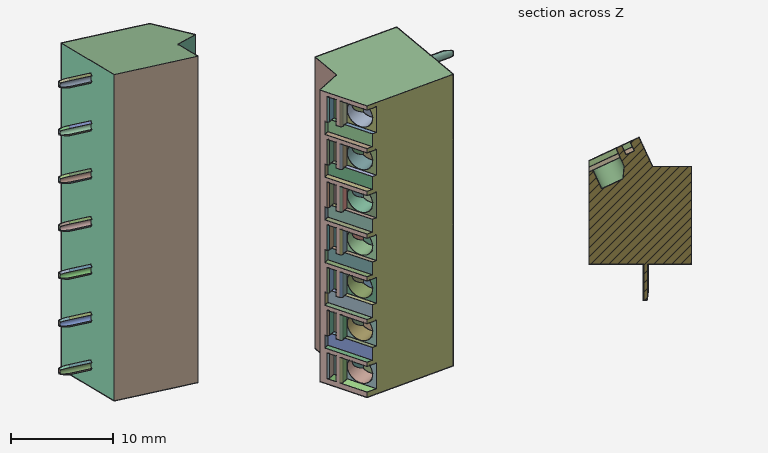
import cadquery as cq
import math

pole_count = 7
pitch = 5.0
pole_rise = 0.07
body_width = 10.0
body_length = 34.14
left_wall_height = 10.12
shoulder_height = 9.57
slope_angle = 25.0
peak_height = 12.4
slope_tan = math.tan(math.radians(slope_angle))
peak_x = (peak_height - left_wall_height) / slope_tan
shoulder_x = peak_x + (peak_height - shoulder_height) * slope_tan

screw_recess_width = 3.0
screw_recess_depth = 1.0
screw_recess_end = 2.88
button_end = 3.53
groove_end = 4.4
button_round = 0.22
groove_chamfer = 0.16
wire_recess_width = 1.5
wire_recess_depth = 0.57
wire_recess_end = 4.82

bore_diameter = 2.9
bore_slope_position = 1.42
bore_depth = 2.0
ramp_start_depth = 0.93
ramp_angle = 60.0

pin_length = 3.5
pin_left_x = 5.27
pin_inner_offset = 0.33
pin_outer_edge_offset = 0.33
pin_inner_edge_offset = 0.54
pin_half_width = 0.54
pin_inner_half_width = 0.3
pin_z_offset = 0.18
pin_taper_length = 1.0
pin_tip_bulge_half_width = 0.355
pin_tip_inner_half_width = 0.155

overshoot = 1.0

first_pole_z = (body_length - (pole_count - 1) * pitch) / 2 + pole_rise
pole_heights = [first_pole_z + index * pitch for index in range(pole_count)]


def slope_plane(z):
    """Plane at height z: local X runs up the slope, local Y points out of the sloped face."""
    slope = math.radians(slope_angle)
    return cq.Plane(
        origin=(0, left_wall_height, z),
        xDir=(math.cos(slope), math.sin(slope), 0),
        normal=(0, 0, 1),
    )


def make_body():
    outline = [
        (0, 0),
        (body_width, 0),
        (body_width, shoulder_height),
        (shoulder_x, shoulder_height),
        (peak_x, peak_height),
        (0, left_wall_height),
    ]
    return cq.Workplane("XY").polyline(outline).close().extrude(body_length)


def make_wire_recess(z_bottom):
    """Step open to the left wall, with its floor parallel to the sloped face."""
    outline = [
        (-overshoot, overshoot),
        (-overshoot, -wire_recess_depth),
        (wire_recess_end, -wire_recess_depth),
        (wire_recess_end, overshoot),
    ]
    return cq.Workplane(slope_plane(z_bottom)).polyline(outline).close().extrude(wire_recess_width)


def make_screw_recess(z_bottom):
    """Recess that rounds off the lower edge of the button."""
    return (
        cq.Workplane(slope_plane(z_bottom))
        .moveTo(-overshoot, -screw_recess_depth)
        .lineTo(screw_recess_end, -screw_recess_depth)
        .lineTo(screw_recess_end, -button_round)
        .radiusArc((screw_recess_end + button_round, 0), button_round)
        .lineTo(screw_recess_end + button_round, overshoot)
        .lineTo(-overshoot, overshoot)
        .close()
        .extrude(screw_recess_width)
    )


def make_groove(z_bottom):
    """Groove above the button, chamfered along its upper edge."""
    outline = [
        (button_end, overshoot),
        (button_end, -screw_recess_depth),
        (groove_end, -screw_recess_depth),
        (groove_end, -groove_chamfer),
        (groove_end + groove_chamfer, 0),
        (groove_end + groove_chamfer, overshoot),
    ]
    return cq.Workplane(slope_plane(z_bottom)).polyline(outline).close().extrude(screw_recess_width)


def make_bore(z):
    """Blind bore square to the sloped face, with a steep ramp on its upper side."""
    radius = bore_diameter / 2
    floor = -screw_recess_depth - bore_depth
    upper_side = bore_slope_position + radius
    ramp_height = bore_depth - ramp_start_depth
    ramp_run = ramp_height / math.tan(math.radians(ramp_angle))
    profile = [(bore_slope_position, floor), (upper_side, floor)]
    profile += [(upper_side, -screw_recess_depth), (bore_slope_position, -screw_recess_depth)]
    axis_start = (bore_slope_position, floor)
    axis_end = (bore_slope_position, 0)
    bore = cq.Workplane(slope_plane(z)).polyline(profile).close().revolve(360, axis_start, axis_end)
    ramp_outline = [
        (upper_side - ramp_run, floor),
        (upper_side, floor),
        (upper_side, floor + ramp_height),
    ]
    ramp = cq.Workplane(slope_plane(z)).polyline(ramp_outline).close().extrude(radius, both=True)
    return bore.cut(ramp)


def make_pin(z):
    """Crescent-shaped strip reaching down from the housing, its sides closing in toward the tip."""
    outer_edge_x = pin_left_x + pin_outer_edge_offset
    inner_edge_x = pin_left_x + pin_inner_edge_offset

    def strip(length):
        return (
            cq.Workplane("XZ")
            .moveTo(outer_edge_x, z - pin_half_width)
            .threePointArc((pin_left_x, z), (outer_edge_x, z + pin_half_width))
            .lineTo(inner_edge_x, z + pin_inner_half_width)
            .threePointArc((pin_left_x + pin_inner_offset, z), (inner_edge_x, z - pin_inner_half_width))
            .close()
            .extrude(length)
        )

    side_slope = (pin_half_width - pin_inner_half_width) / (pin_inner_edge_offset - pin_outer_edge_offset)
    bulge_half_width = pin_half_width + side_slope * pin_outer_edge_offset

    def wedge(bulge_half, inner_half):
        return [
            (pin_left_x, z - bulge_half),
            (pin_left_x, z + bulge_half),
            (inner_edge_x, z + inner_half),
            (inner_edge_x, z - inner_half),
        ]

    taper_envelope = (
        cq.Workplane("XZ", origin=(0, pin_taper_length - pin_length, 0))
        .polyline(wedge(bulge_half_width, pin_inner_half_width))
        .close()
        .workplane(offset=pin_taper_length)
        .polyline(wedge(pin_tip_bulge_half_width, pin_tip_inner_half_width))
        .close()
        .loft(ruled=True)
    )
    tip = strip(pin_length).intersect(taper_envelope)
    return strip(pin_length - pin_taper_length).union(tip)


result = make_body()

for pole_z in pole_heights:
    recess_bottom = pole_z - screw_recess_width / 2
    result = result.cut(make_screw_recess(recess_bottom))
    result = result.cut(make_groove(recess_bottom))
    result = result.cut(make_bore(pole_z))
    result = result.union(make_pin(pole_z + pin_z_offset))

for pole_z in pole_heights[1:]:
    recess_bottom = pole_z - screw_recess_width / 2 - wire_recess_width
    result = result.cut(make_wire_recess(recess_bottom))